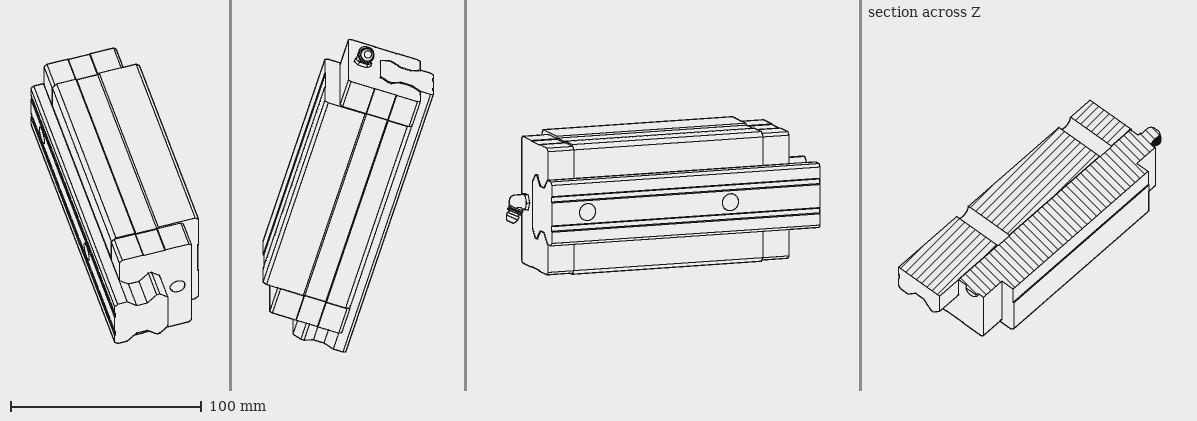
import cadquery as cq
import math


rail_length = 150.1
rail_height = 29.1
rail_half_width = 17.0
rail_waist_half_width = 11.9
rail_foot_height = 6.9
rail_foot_chamfer = 1.6
rail_head_chamfer = 4.3
rail_head_flat = 1.8
rail_groove_inner = 6.1
rail_groove_outer = 9.5
rail_groove_depth = 0.5
rail_hole_diameter = 9.0
rail_hole_start = 20.0
rail_hole_pitch = 80.0
rail_hole_count = 2

cap_start = 0.5
cap_length = 14.5
body_length = 105.8
body_bottom = 7.2
body_top = 55.0
body_width = 70.0
body_top_chamfer = 2.0
body_bottom_chamfer = 2.4
body_lower_half_width = 34.6
band_half_width = 34.1
band_bottom = 20.1
band_top = 32.0
top_recess_half_width = 11.1
top_recess_depth = 0.5

cap_bottom = 7.0
cap_top = 46.6
cap_half_width = 33.8
cap_bottom_chamfer = 1.6
cap_top_chamfer = 1.5
cap_band_depth = 0.3

port_height = 39.0
hex_sides = 6
hex_across_flats = 7.9
hex_length = 1.8
elbow_diameter = 7.9
elbow_reach = 9.2
elbow_round = 2.5
stem_tilt = 25.0
stem_origin_x = -4.0
stem_diameter = 6.6
collar_diameter = 7.9
collar_groove_diameter = 6.9
neck_diameter = 5.5
head_diameter = 6.6
head_taper_diameter = 5.1
head_tip_diameter = 3.9
collar_start = 3.4
collar_end = 5.8
collar_groove_width = 0.8
head_start = 7.0
head_taper_start = 8.7
head_taper_end = 10.5
stem_length = 11.3

plug_diameter = 8.0
plug_length = 1.5
plug_round = 1.3

body_half_width = body_width / 2
body_start = cap_start + cap_length
body_end = body_start + body_length
carriage_end = body_end + cap_length


def prism(half_outline, start, length):
    """Extrude along X a (z, y) half outline mirrored about Z = 0."""
    mirrored = [(-z, y) for z, y in reversed(half_outline)]
    outline = [(y, z) for z, y in half_outline + mirrored]
    return cq.Workplane("YZ", origin=(start, 0, 0)).polyline(outline).close().extrude(length)


def rail_blank():
    waist_inset = rail_half_width - rail_waist_half_width
    head_side_top = rail_height - rail_head_chamfer
    head_side_bottom = head_side_top - rail_head_flat
    return prism(
        [
            (rail_half_width - rail_foot_chamfer, 0),
            (rail_half_width, rail_foot_chamfer),
            (rail_half_width, rail_foot_height),
            (rail_waist_half_width, rail_foot_height + waist_inset),
            (rail_waist_half_width, head_side_bottom - waist_inset),
            (rail_half_width, head_side_bottom),
            (rail_half_width, head_side_top),
            (rail_half_width - rail_head_chamfer, rail_height),
        ],
        0,
        rail_length,
    )


def rail_groove():
    """Shallow groove with 45 degree walls along the mounting face, on the +Z side."""
    outline = [
        (0, rail_groove_inner),
        (rail_groove_depth, rail_groove_inner + rail_groove_depth),
        (rail_groove_depth, rail_groove_outer - rail_groove_depth),
        (0, rail_groove_outer),
    ]
    return cq.Workplane("YZ").polyline(outline).close().extrude(rail_length)


def make_rail():
    rail = rail_blank().cut(rail_groove()).cut(rail_groove().mirror("XY"))
    for index in range(rail_hole_count):
        x = rail_hole_start + index * rail_hole_pitch
        hole = cq.Workplane("XZ", origin=(x, 0, 0)).circle(rail_hole_diameter / 2).extrude(-rail_height)
        rail = rail.cut(hole)
    return rail


def carriage_body():
    return prism(
        [
            (body_lower_half_width - body_bottom_chamfer, body_bottom),
            (body_lower_half_width, body_bottom + body_bottom_chamfer),
            (body_lower_half_width, band_bottom),
            (band_half_width, band_bottom + body_lower_half_width - band_half_width),
            (band_half_width, band_top),
            (body_half_width, band_top + body_half_width - band_half_width),
            (body_half_width, body_top - body_top_chamfer),
            (body_half_width - body_top_chamfer, body_top),
            (top_recess_half_width, body_top),
            (top_recess_half_width, body_top - top_recess_depth),
        ],
        body_start,
        body_length,
    )


def end_cap(start):
    return prism(
        [
            (cap_half_width - cap_bottom_chamfer, cap_bottom),
            (cap_half_width, cap_bottom + cap_bottom_chamfer),
            (cap_half_width, band_bottom),
            (cap_half_width - cap_band_depth, band_bottom + cap_band_depth),
            (cap_half_width - cap_band_depth, band_top),
            (cap_half_width, band_top + cap_band_depth),
            (cap_half_width, cap_top - cap_top_chamfer),
            (cap_half_width - cap_top_chamfer, cap_top),
        ],
        start,
        cap_length,
    )


def grease_stem():
    """Tilted stem with two collar rings and a tapered head."""
    collar_middle = (collar_start + collar_end) / 2
    profile = [
        (0, 0),
        (stem_diameter, 0),
        (stem_diameter, collar_start),
        (collar_diameter, collar_start),
        (collar_diameter, collar_middle - collar_groove_width / 2),
        (collar_groove_diameter, collar_middle),
        (collar_diameter, collar_middle + collar_groove_width / 2),
        (collar_diameter, collar_end),
        (neck_diameter, collar_end),
        (neck_diameter, head_start),
        (head_diameter, head_start),
        (head_diameter, head_taper_start),
        (head_taper_diameter, head_taper_end),
        (head_tip_diameter, stem_length),
        (0, stem_length),
    ]
    points = [(diameter / 2, -depth) for diameter, depth in profile]
    stem = cq.Workplane("XZ").polyline(points).close().revolve(360, (0, 0, 0), (0, 1, 0))
    stem = stem.rotate((0, 0, 0), (0, 1, 0), stem_tilt)
    return stem.translate((stem_origin_x, port_height, 0))


def grease_nipple():
    port = cq.Workplane("YZ", origin=(cap_start, port_height, 0))
    hex_across_corners = hex_across_flats / math.cos(math.pi / hex_sides)
    hexagon = port.polygon(hex_sides, hex_across_corners).extrude(-hex_length)
    elbow = port.circle(elbow_diameter / 2).extrude(-elbow_reach).faces("<X").edges().fillet(elbow_round)
    return hexagon.union(elbow).union(grease_stem())


def end_plug():
    plug = cq.Workplane("YZ", origin=(carriage_end, port_height, 0))
    return plug.circle(plug_diameter / 2).extrude(plug_length).faces(">X").edges().fillet(plug_round)


def make_carriage():
    carriage = carriage_body().union(end_cap(cap_start)).union(end_cap(body_end))
    return carriage.cut(rail_blank()).union(grease_nipple()).union(end_plug())


rail = make_rail()
carriage = make_carriage()
result = cq.Compound.makeCompound([rail.val(), carriage.val()])